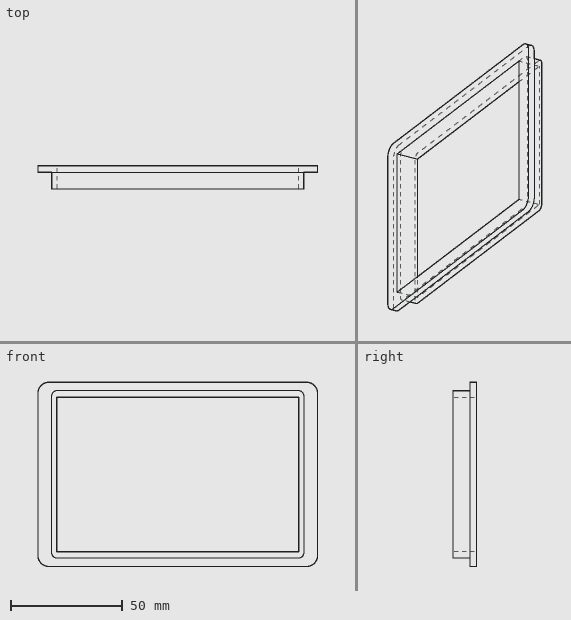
import cadquery as cq

flange_width = 125.2
flange_height = 82.5
flange_thickness = 3.0
flange_corner_radius = 5.0

total_depth = 10.5
collar_width = 112.8
collar_height = 75.0
collar_corner_radius = 2.5

window_width = 108.2
window_height = 69.0


def rectangular_block(width, height, depth):
    """Block centred on X and Z, with its front face at Y = 0 and its back at Y = depth."""
    return cq.Workplane("XY").box(width, depth, height).translate((0, depth / 2, 0))


def rounded_block(width, height, depth, corner_radius):
    """Rectangular block with its four edges along Y rounded."""
    return rectangular_block(width, height, depth).edges("|Y").fillet(corner_radius)


collar = rounded_block(collar_width, collar_height, total_depth, collar_corner_radius)

flange_front = total_depth - flange_thickness
flange = rounded_block(
    flange_width, flange_height, flange_thickness, flange_corner_radius
).translate((0, flange_front, 0))

window = rectangular_block(window_width, window_height, total_depth)

result = flange.union(collar).cut(window)